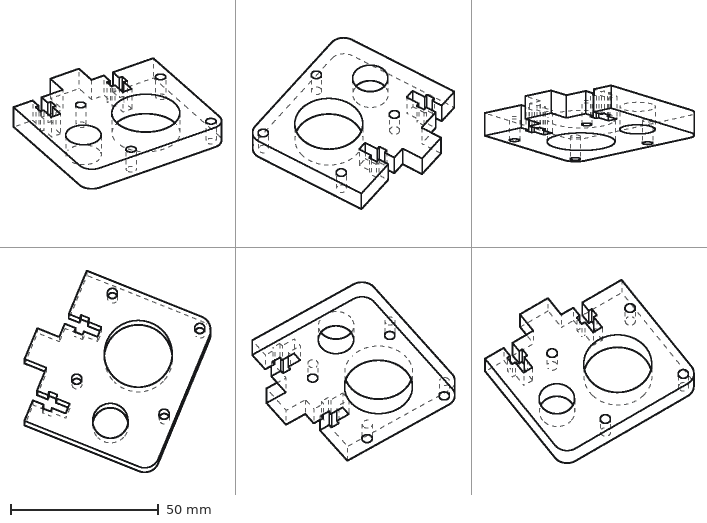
import cadquery as cq

total_length = 55.0
width = 56.0
thickness = 8.0
corner_radius = 5.0

tab_length = 8.0
tab_width = 11.5
tab_center_y = 25.55

slot_depth = 12.0
slot_width = 3.6
nut_offset = 4.0
nut_thickness = 3.0
nut_width = 6.15
slot_centers_y = (9.45, 38.0)

motor_x = 35.0
motor_y = 36.0
motor_diameter = 23.0
mount_spacing = 32.0
mount_diameter = 3.5

lower_opening_y = 11.05
lower_opening_diameter = 12.0


def block(x_start, length, center_y, block_width):
    """Full-thickness block starting at x_start and centred on center_y."""
    return (
        cq.Workplane("XY")
        .box(length, block_width, thickness, centered=(False, True, False))
        .translate((x_start, center_y, 0))
    )


def t_slot(center_y):
    """Cutter for one screw slot and its nut pocket."""
    screw_slot = block(tab_length, slot_depth, center_y, slot_width)
    nut_pocket = block(tab_length + nut_offset, nut_thickness, center_y, nut_width)
    return screw_slot.union(nut_pocket)


def round_cutter(x, y, diameter):
    """Full-thickness cylinder for a through hole."""
    return cq.Workplane("XY").center(x, y).circle(diameter / 2).extrude(thickness)


plate = block(tab_length, total_length - tab_length, width / 2, width)
plate = plate.edges("|Z and >X").fillet(corner_radius)
result = plate.union(block(0, tab_length, tab_center_y, tab_width))

for slot_y in slot_centers_y:
    result = result.cut(t_slot(slot_y))

result = result.cut(round_cutter(motor_x, motor_y, motor_diameter))
result = result.cut(round_cutter(motor_x, lower_opening_y, lower_opening_diameter))

for x_side in (-1, 1):
    for y_side in (-1, 1):
        mount_x = motor_x + x_side * mount_spacing / 2
        mount_y = motor_y + y_side * mount_spacing / 2
        result = result.cut(round_cutter(mount_x, mount_y, mount_diameter))